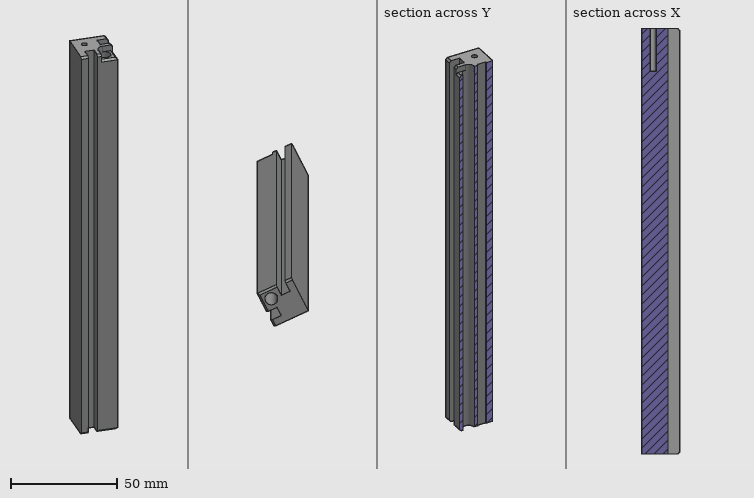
import cadquery as cq

side = 18.0
length = 200.0
half = side / 2

slot_width = 4.5
slot_depth = 5.5
slot_offset = -3.25

through_hole_diameter = 6.0
through_hole_offset = 4.0
pilot_hole_diameter = 2.7
pilot_hole_offset = -3.5
pilot_hole_depth = 20.0

recess_side = half - through_hole_offset + through_hole_diameter / 2
recess_depth = 3.0

end_chamfer = 1.0


def chamfered_block(width, height):
    """Square block with the end edges of its +X and +Y sides chamfered."""
    block = cq.Workplane("XY").box(width, width, height)
    for side_face in (">X", ">Y"):
        block = block.faces(side_face).edges("<Z or >Z").chamfer(end_chamfer)
    return block


def bar():
    """Chamfered bar whose slotted corner stops short at the top end."""
    corner_centre = half - recess_side / 2
    cut_depth = recess_depth + end_chamfer
    recess = cq.Workplane("XY").box(recess_side, recess_side, cut_depth)
    recess = recess.edges("|Z and <X and <Y").fillet(through_hole_diameter / 2)
    recess = recess.translate((corner_centre, corner_centre, (length - cut_depth) / 2))
    corner = chamfered_block(recess_side, length - recess_depth)
    corner = corner.translate((corner_centre, corner_centre, -recess_depth / 2))
    return chamfered_block(side, length).cut(recess).union(corner)


def side_slots():
    """Cutter for both slots, which mirror each other across the diagonal."""
    x_slot = cq.Workplane("XY").box(slot_depth, slot_width, length)
    x_slot = x_slot.translate((half - slot_depth / 2, slot_offset, 0))
    y_slot = cq.Workplane("XY").box(slot_width, slot_depth, length)
    y_slot = y_slot.translate((slot_offset, half - slot_depth / 2, 0))
    return x_slot.union(y_slot)


def hole(diameter, offset, depth):
    """Cutter for a hole on the diagonal, drilled down from the top end."""
    top = cq.Workplane("XY", origin=(offset, offset, length / 2))
    return top.circle(diameter / 2).extrude(-depth)


result = bar().cut(side_slots())
result = result.cut(hole(through_hole_diameter, through_hole_offset, length))
result = result.cut(hole(pilot_hole_diameter, pilot_hole_offset, pilot_hole_depth))